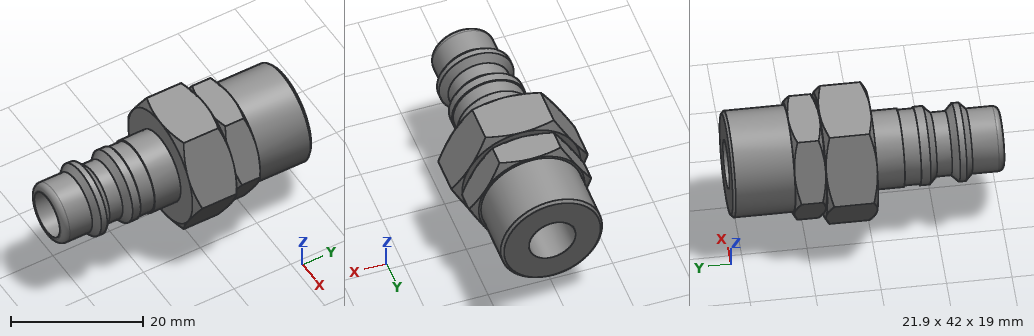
import cadquery as cq
import math

TOTAL_LENGTH = 42.0
BORE_RADIUS = 3.75

TIP_RADIUS = 5.0
TIP_FILLET = 1.0
RIDGE_RADIUS = 6.0
GROOVE_RADIUS = 4.9
RECESS_RADIUS = 5.8
TIP_END = 5.0
RIDGE_END = 7.0
GROOVE_END = 10.4
COLLAR_END = 12.95
RECESS_END = 15.45

LARGE_HEX_START = 20.0
SMALL_HEX_START = 27.75
SLEEVE_START = 32.5
LARGE_HEX_FLATS = 19.0
SMALL_HEX_FLATS = 17.0
HEX_CHAMFER_ANGLE = 30.0
SLEEVE_RADIUS = 8.15
SLEEVE_CHAMFER = 0.4


def revolve_about_y(profile):
    return profile.close().revolve(360, (0, 0, 0), (0, 1, 0))


def make_plug():
    """Turned plug whose ridge and collar have 45 degree flanks."""
    front_flank = RIDGE_RADIUS - TIP_RADIUS
    groove_flank = RIDGE_RADIUS - GROOVE_RADIUS
    profile = (
        cq.Workplane("XY")
        .lineTo(TIP_RADIUS - TIP_FILLET, 0)
        .radiusArc((TIP_RADIUS, TIP_FILLET), -TIP_FILLET)
        .lineTo(TIP_RADIUS, TIP_END)
        .lineTo(RIDGE_RADIUS, TIP_END + front_flank)
        .lineTo(RIDGE_RADIUS, RIDGE_END)
        .lineTo(GROOVE_RADIUS, RIDGE_END + groove_flank)
        .lineTo(GROOVE_RADIUS, GROOVE_END)
        .lineTo(RIDGE_RADIUS, GROOVE_END + groove_flank)
        .lineTo(RIDGE_RADIUS, COLLAR_END)
        .lineTo(RECESS_RADIUS, COLLAR_END)
        .lineTo(RECESS_RADIUS, RECESS_END)
        .lineTo(RIDGE_RADIUS, RECESS_END)
        .lineTo(RIDGE_RADIUS, LARGE_HEX_START)
        .lineTo(0, LARGE_HEX_START)
    )
    return revolve_about_y(profile)


def make_hexagon(start, end, flats):
    """Hexagon with corners on the X axis and both ends chamfered down to the flats."""
    flat_radius = flats / 2
    corner_radius = flat_radius / math.cos(math.radians(30))
    chamfer_depth = (corner_radius - flat_radius) * math.tan(math.radians(HEX_CHAMFER_ANGLE))
    prism = (
        cq.Workplane("XZ", origin=(0, start, 0))
        .polygon(6, 2 * corner_radius)
        .extrude(start - end)
    )
    envelope = (
        cq.Workplane("XY")
        .moveTo(0, start)
        .lineTo(flat_radius, start)
        .lineTo(corner_radius, start + chamfer_depth)
        .lineTo(corner_radius, end - chamfer_depth)
        .lineTo(flat_radius, end)
        .lineTo(0, end)
    )
    return prism.intersect(revolve_about_y(envelope))


def make_sleeve():
    """Plain rear sleeve with a chamfered outer rim."""
    return (
        cq.Workplane("XZ", origin=(0, SLEEVE_START, 0))
        .circle(SLEEVE_RADIUS)
        .extrude(SLEEVE_START - TOTAL_LENGTH)
        .faces(">Y")
        .chamfer(SLEEVE_CHAMFER)
    )


bore = cq.Workplane("XZ").circle(BORE_RADIUS).extrude(-TOTAL_LENGTH)

result = (
    make_plug()
    .union(make_hexagon(LARGE_HEX_START, SMALL_HEX_START, LARGE_HEX_FLATS))
    .union(make_hexagon(SMALL_HEX_START, SLEEVE_START, SMALL_HEX_FLATS))
    .union(make_sleeve())
    .cut(bore)
)